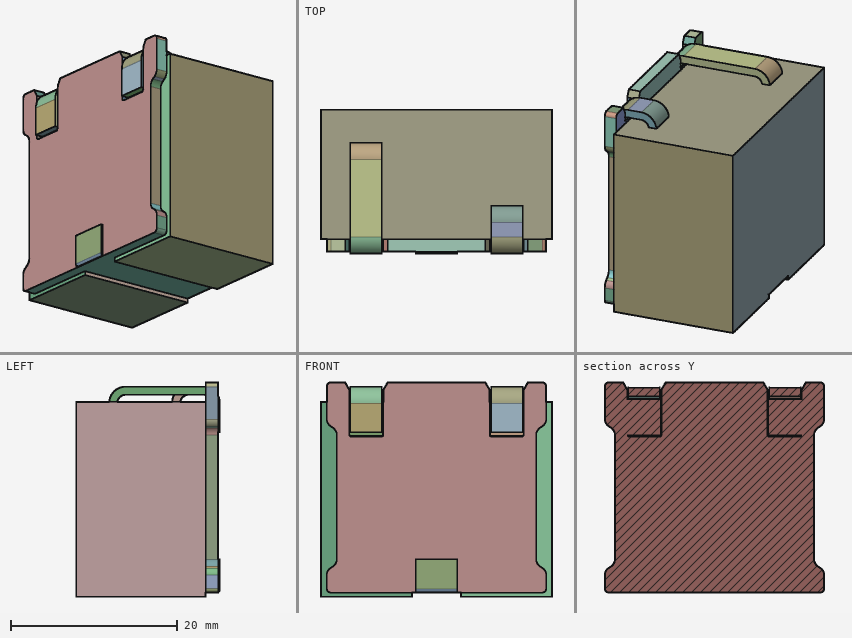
import cadquery as cq
import math


body_width = 27.8
body_depth = 15.6
body_height = 23.45
notch_width = 5.85

plate_thickness = 1.5
plate_width = 26.4
plate_waist_width = 24.0
plate_bottom = 0.5
plate_top = 25.8
plate_corner_radius = 0.5
waist_bottom = 4.5
waist_top = 19.5
waist_blend_radius = 1.0
waist_blend_angle = math.radians(56)

lead_offset = 8.48
lead_width = 3.8
lead_thickness = 1.0
lead_bend_radius = 2.0
lead_top = 25.3
lead_tip = 19.8
front_protrusion = 1.72
long_lead_back = 11.62
short_lead_back = 4.05

slot_outer_clearance = 0.1
slot_inner_clearance = 0.2
slot_bottom = 19.27
slot_corner_radius = 0.3
slot_mouth_run = 0.5
slot_mouth_angle = math.radians(60)
slot_mouth_drop = slot_mouth_run * math.tan(slot_mouth_angle)

support_depth = front_protrusion - lead_thickness
support_margin = slot_outer_clearance
support_bottom = 19.38
support_top = 23.82

tab_width = 5.0
tab_top = 4.53
tab_edge_radius = 0.45


def make_body():
    """Plain block with a notch along its underside, level with the plate's lower edge."""
    block = cq.Workplane("XY").box(body_width, body_depth, body_height, centered=(True, False, False))
    notch = cq.Workplane("XY").box(notch_width, body_depth, plate_bottom, centered=(True, False, False))
    return block.cut(notch)


def make_waist_recess():
    """Cutter for the right edge of the plate; both its ends are S-curves of two arcs and a flat."""
    outer_x = plate_width / 2
    inner_x = plate_waist_width / 2
    arc_run = waist_blend_radius * (1 - math.cos(waist_blend_angle))
    arc_rise = waist_blend_radius * math.sin(waist_blend_angle)
    mid_run = waist_blend_radius * (1 - math.cos(waist_blend_angle / 2))
    mid_rise = waist_blend_radius * math.sin(waist_blend_angle / 2)
    flat_rise = (outer_x - inner_x - 2 * arc_run) / math.tan(waist_blend_angle)
    blend_rise = 2 * arc_rise + flat_rise
    low_z = waist_bottom - blend_rise
    high_z = waist_top + blend_rise
    return (
        cq.Workplane("XZ")
        .moveTo(outer_x, low_z)
        .threePointArc((outer_x - mid_run, low_z + mid_rise), (outer_x - arc_run, low_z + arc_rise))
        .lineTo(inner_x + arc_run, waist_bottom - arc_rise)
        .threePointArc((inner_x + mid_run, waist_bottom - mid_rise), (inner_x, waist_bottom))
        .lineTo(inner_x, waist_top)
        .threePointArc((inner_x + mid_run, waist_top + mid_rise), (inner_x + arc_run, waist_top + arc_rise))
        .lineTo(outer_x - arc_run, high_z - arc_rise)
        .threePointArc((outer_x - mid_run, high_z - mid_rise), (outer_x, high_z))
        .close()
        .extrude(plate_thickness)
    )


def make_slot():
    """Cutter for the right lead slot: round lower corners and a flared mouth."""
    inner_x = lead_offset - lead_width / 2 - slot_inner_clearance
    outer_x = lead_offset + lead_width / 2 + slot_outer_clearance
    mouth_bottom = plate_top - slot_mouth_drop
    return (
        cq.Workplane("XZ")
        .moveTo(inner_x, slot_bottom)
        .lineTo(outer_x, slot_bottom)
        .lineTo(outer_x, mouth_bottom)
        .lineTo(outer_x + slot_mouth_run, plate_top)
        .lineTo(inner_x - slot_mouth_run, plate_top)
        .lineTo(inner_x, mouth_bottom)
        .close()
        .extrude(plate_thickness)
        .edges("|Y and <Z")
        .fillet(slot_corner_radius)
    )


def make_plate():
    """Cover plate with rounded outer corners, waisted sides and two lead slots."""
    plate = (
        cq.Workplane("XZ", origin=(0, 0, (plate_bottom + plate_top) / 2))
        .rect(plate_width, plate_top - plate_bottom)
        .extrude(plate_thickness)
        .edges("|Y")
        .fillet(plate_corner_radius)
    )
    for cutter in (make_waist_recess(), make_slot()):
        plate = plate.cut(cutter).cut(cutter.mirror("YZ"))
    return plate


def make_lead(center_x, back_y):
    """Flat strip bent at both ends: down in front of the plate and down into the body."""
    length = back_y + front_protrusion
    outer = (
        cq.Workplane("YZ")
        .box(length, lead_top - lead_tip, lead_width, centered=(False, False, True))
        .edges("|X and >Z")
        .fillet(lead_bend_radius)
    )
    inner = (
        cq.Workplane("YZ", origin=(0, lead_thickness, 0))
        .box(
            length - 2 * lead_thickness,
            lead_top - lead_tip - lead_thickness,
            lead_width,
            centered=(False, False, True),
        )
        .edges("|X and >Z")
        .fillet(lead_bend_radius - lead_thickness)
    )
    return outer.cut(inner).translate((center_x, -front_protrusion, lead_tip))


def make_support(center_x):
    """Block on the body's front face backing a lead, a little wider than the lead."""
    return cq.Workplane("XY", origin=(center_x, -support_depth, support_bottom)).box(
        lead_width + 2 * support_margin,
        support_depth,
        support_top - support_bottom,
        centered=(True, False, False),
    )


def make_tab():
    """Block standing proud of the plate, with its lower front edge rounded."""
    return (
        cq.Workplane("XY", origin=(0, -front_protrusion, plate_bottom))
        .box(tab_width, front_protrusion, tab_top - plate_bottom, centered=(True, False, False))
        .edges("<Y and <Z")
        .fillet(tab_edge_radius)
    )


result = (
    make_body()
    .union(make_plate())
    .union(make_lead(-lead_offset, long_lead_back))
    .union(make_lead(lead_offset, short_lead_back))
    .union(make_support(-lead_offset))
    .union(make_support(lead_offset))
    .union(make_tab())
)